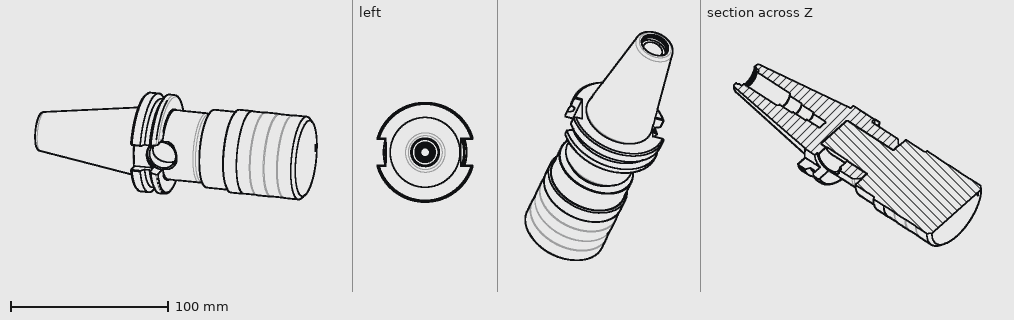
import cadquery as cq
import math


NOSE_BLEND = 1.8
TAPER_RATE = 7 / 24 / 2
GAUGE_X = 68.0
GAUGE_RADIUS = 44.5 / 2
NOSE_RADIUS = GAUGE_RADIUS - TAPER_RATE * (GAUGE_X - NOSE_BLEND)

FLANGE_X = 69.0
FLANGE_END_X = 87.0
FLANGE_RADIUS = 31.7
FLANGE_CHAMFER = 1.0
FLANGE_REAR_FILLET = 1.0
FLANGE_ROOT_FILLET = 0.5
GROOVE_X = 79.1
GROOVE_FLOOR_RADIUS = 28.3
GROOVE_WALL_ANGLE = 30
GROOVE_FLOOR_HALF = 1.6
GROOVE_TOP_HALF = GROOVE_FLOOR_HALF + (FLANGE_RADIUS - GROOVE_FLOOR_RADIUS) * math.tan(
    math.radians(GROOVE_WALL_ANGLE)
)

SLOT_WIDTH = 16.6
SLOT_EDGE_CHAMFER = 0.5
FRONT_SLOT_FLOOR = 22.7
BACK_SLOT_FLOOR = 25.0

SHANK_RADIUS = GAUGE_RADIUS
SHANK_CHAMFER_ANGLE = 45
SHANK_BLEND = 2.1
SHANK_BLEND_X = 108.0
NECK_RADIUS = 18.8
SHANK_END_X = 113.0

RADIAL_HOLE_X = 87.5
RADIAL_HOLE_DIAMETER = 17.4
RECESS_DIAMETER = 20.0
RECESS_FLOOR = 20.2

MOUTH_RADIUS = 9.0
MOUTH_DEPTH = 1.5
COUNTERBORE_RADIUS = 8.3
COUNTERBORE_DEPTH = 4.2
MOUTH_CONE_LENGTH = MOUTH_RADIUS - COUNTERBORE_RADIUS
BORE_RADIUS = 12.7 / 2
BORE_DEPTH = 31.9
BORE_CONE_RADIUS = 11.0 / 2
BORE_CONE_LENGTH = BORE_RADIUS - BORE_CONE_RADIUS
CHANNEL_DIAMETERS = [9.5, 8.0, 6.0]
CHANNEL_STEP = 10.6

SPIGOT_RADIUS = 25.3 / 2
SPIGOT_X = 74.4
COLLAR_RADIUS = 25.0
COLLAR_CHAMFER = 0.4
SLEEVE_BEVEL_X = 128.9
SLEEVE_X = 129.6
SLEEVE_BEVEL_RADIUS = 25.3
SLEEVE_RADIUS = 26.5
CHUCK_END_X = 176.7
CHUCK_END_CHAMFER = 2.3

BAND_SINK = 0.2
BAND_BEVEL = 0.7
FIRST_BAND_X = 138.3
FIRST_BAND_END_X = 147.3
SECOND_BAND_X = 155.8
SECOND_BAND_END_X = 165.4

MARK_LENGTH = 4.0
MARK_THICKNESS = 0.4
MARK_Y = 20.4
MARK_END_X = 177.0


def revolve_about_x(outline):
    return outline.close().revolve(360, (0, 0, 0), (1, 0, 0))


def arc_middle_inset(radius):
    """Distance from each side of a square corner to the middle of its rounding arc."""
    return radius * (1 - math.sqrt(0.5))


def holder_blank():
    nose_mid = arc_middle_inset(NOSE_BLEND)
    rear_mid = arc_middle_inset(FLANGE_REAR_FILLET)
    root_mid = arc_middle_inset(FLANGE_ROOT_FILLET)
    angle = math.radians(SHANK_CHAMFER_ANGLE)
    blend_points = [
        (
            SHANK_BLEND_X + SHANK_BLEND * math.sin(turn),
            SHANK_RADIUS - SHANK_BLEND * (1 - math.cos(turn)),
        )
        for turn in (angle / 2, angle)
    ]
    chamfer_x, chamfer_radius = blend_points[1]
    neck_x = chamfer_x + (chamfer_radius - NECK_RADIUS) / math.tan(angle)
    outline = (
        cq.Workplane("XY")
        .lineTo(0, NOSE_RADIUS - NOSE_BLEND)
        .threePointArc((nose_mid, NOSE_RADIUS - nose_mid), (NOSE_BLEND, NOSE_RADIUS))
        .lineTo(GAUGE_X, GAUGE_RADIUS)
        .lineTo(FLANGE_X, GAUGE_RADIUS)
        .lineTo(FLANGE_X, FLANGE_RADIUS - FLANGE_CHAMFER)
        .lineTo(FLANGE_X + FLANGE_CHAMFER, FLANGE_RADIUS)
        .lineTo(GROOVE_X - GROOVE_TOP_HALF, FLANGE_RADIUS)
        .lineTo(GROOVE_X - GROOVE_FLOOR_HALF, GROOVE_FLOOR_RADIUS)
        .lineTo(GROOVE_X + GROOVE_FLOOR_HALF, GROOVE_FLOOR_RADIUS)
        .lineTo(GROOVE_X + GROOVE_TOP_HALF, FLANGE_RADIUS)
        .lineTo(FLANGE_END_X - FLANGE_REAR_FILLET, FLANGE_RADIUS)
        .threePointArc(
            (FLANGE_END_X - rear_mid, FLANGE_RADIUS - rear_mid),
            (FLANGE_END_X, FLANGE_RADIUS - FLANGE_REAR_FILLET),
        )
        .lineTo(FLANGE_END_X, SHANK_RADIUS + FLANGE_ROOT_FILLET)
        .threePointArc(
            (FLANGE_END_X + root_mid, SHANK_RADIUS + root_mid),
            (FLANGE_END_X + FLANGE_ROOT_FILLET, SHANK_RADIUS),
        )
        .lineTo(SHANK_BLEND_X, SHANK_RADIUS)
        .threePointArc(*blend_points)
        .lineTo(neck_x, NECK_RADIUS)
        .lineTo(SHANK_END_X, NECK_RADIUS)
        .lineTo(SHANK_END_X, 0)
    )
    return revolve_about_x(outline)


def drive_slot(floor, side):
    length = FLANGE_END_X + FLANGE_ROOT_FILLET - FLANGE_X
    depth = FLANGE_RADIUS - floor
    return cq.Workplane("XY").box(length, depth, SLOT_WIDTH).translate(
        (FLANGE_X + length / 2, side * (floor + depth / 2), 0)
    )


def chamfer_slot_edges(holder, floor, side):
    """Break the slot wall edges on the front land of the flange."""
    reach = SLOT_EDGE_CHAMFER / 2
    for wall_z in (-SLOT_WIDTH / 2, SLOT_WIDTH / 2):
        y_limits = sorted([side * (floor + reach), side * FLANGE_RADIUS])
        wall_edges = cq.selectors.BoxSelector(
            (FLANGE_X - reach, y_limits[0], wall_z - reach),
            (GROOVE_X - GROOVE_TOP_HALF - reach, y_limits[1], wall_z + reach),
        )
        holder = holder.edges(wall_edges).chamfer(SLOT_EDGE_CHAMFER)
    return holder


def radial_hole():
    recess = (
        cq.Workplane("XZ", origin=(RADIAL_HOLE_X, -RECESS_FLOOR, 0))
        .circle(RECESS_DIAMETER / 2)
        .extrude(FLANGE_RADIUS - RECESS_FLOOR)
    )
    hole = (
        cq.Workplane("XZ", origin=(RADIAL_HOLE_X, 0, 0))
        .circle(RADIAL_HOLE_DIAMETER / 2)
        .extrude(FLANGE_RADIUS)
    )
    return recess.union(hole)


def stepped_bore():
    outline = (
        cq.Workplane("XY")
        .lineTo(0, MOUTH_RADIUS)
        .lineTo(MOUTH_DEPTH, MOUTH_RADIUS)
        .lineTo(MOUTH_DEPTH + MOUTH_CONE_LENGTH, COUNTERBORE_RADIUS)
        .lineTo(COUNTERBORE_DEPTH, COUNTERBORE_RADIUS)
        .lineTo(COUNTERBORE_DEPTH, BORE_RADIUS)
        .lineTo(BORE_DEPTH, BORE_RADIUS)
        .lineTo(BORE_DEPTH + BORE_CONE_LENGTH, BORE_CONE_RADIUS)
    )
    step_x = BORE_DEPTH + BORE_CONE_LENGTH
    for diameter in CHANNEL_DIAMETERS:
        outline = outline.lineTo(step_x, diameter / 2)
        step_x += CHANNEL_STEP
        outline = outline.lineTo(step_x, diameter / 2)
    return revolve_about_x(outline.lineTo(step_x, 0))


def spigot():
    return (
        cq.Workplane("YZ", origin=(SPIGOT_X, 0, 0))
        .circle(SPIGOT_RADIUS)
        .extrude(SHANK_END_X - SPIGOT_X)
    )


def make_holder():
    holder = holder_blank()
    for floor, side in ((FRONT_SLOT_FLOOR, -1), (BACK_SLOT_FLOOR, 1)):
        holder = holder.cut(drive_slot(floor, side))
        holder = chamfer_slot_edges(holder, floor, side)
    return holder.cut(radial_hole()).cut(stepped_bore()).cut(spigot())


def end_mark():
    height = MARK_END_X - CHUCK_END_X
    return cq.Workplane("XY").box(height, MARK_THICKNESS, MARK_LENGTH).translate(
        (CHUCK_END_X + height / 2, MARK_Y, 0)
    )


def make_chuck():
    band_radius = SLEEVE_RADIUS - BAND_SINK
    outline = (
        cq.Workplane("XY")
        .moveTo(SHANK_END_X, 0)
        .lineTo(SHANK_END_X, COLLAR_RADIUS - COLLAR_CHAMFER)
        .lineTo(SHANK_END_X + COLLAR_CHAMFER, COLLAR_RADIUS)
        .lineTo(SLEEVE_BEVEL_X, COLLAR_RADIUS)
        .lineTo(SLEEVE_BEVEL_X, SLEEVE_BEVEL_RADIUS)
        .lineTo(SLEEVE_X, SLEEVE_RADIUS)
        .lineTo(FIRST_BAND_X, SLEEVE_RADIUS)
        .lineTo(FIRST_BAND_X, band_radius)
        .lineTo(FIRST_BAND_END_X - BAND_BEVEL, band_radius)
        .lineTo(FIRST_BAND_END_X, SLEEVE_RADIUS)
        .lineTo(SECOND_BAND_X, SLEEVE_RADIUS)
        .lineTo(SECOND_BAND_X + BAND_BEVEL, band_radius)
        .lineTo(SECOND_BAND_END_X - BAND_BEVEL, band_radius)
        .lineTo(SECOND_BAND_END_X, SLEEVE_RADIUS)
        .lineTo(CHUCK_END_X - CHUCK_END_CHAMFER, SLEEVE_RADIUS)
        .lineTo(CHUCK_END_X, SLEEVE_RADIUS - CHUCK_END_CHAMFER)
        .lineTo(CHUCK_END_X, 0)
    )
    return revolve_about_x(outline).union(spigot()).union(end_mark())


holder = make_holder()
chuck = make_chuck()
result = cq.Compound.makeCompound([holder.solids().val(), chuck.solids().val()])